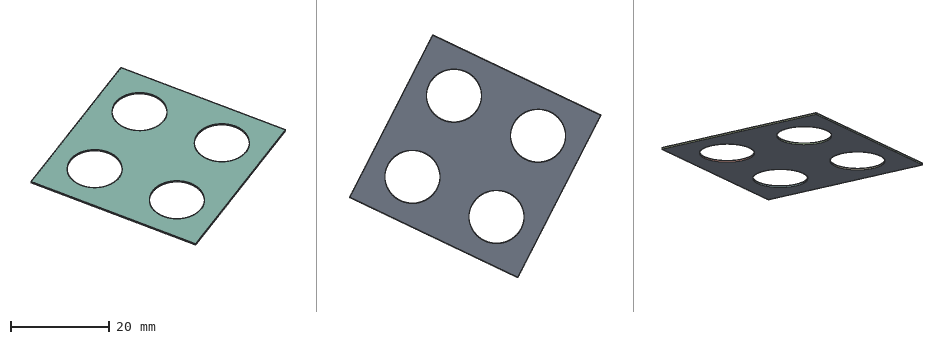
import cadquery as cq

plate_side = 38.1
plate_thickness = 0.4
holes_per_side = 2
hole_diameter = 11.15
hole_pitch = plate_side / holes_per_side

plate = cq.Workplane("XY").box(plate_side, plate_side, plate_thickness)

result = (
    plate.faces(">Z")
    .workplane()
    .rarray(hole_pitch, hole_pitch, holes_per_side, holes_per_side)
    .hole(hole_diameter)
)